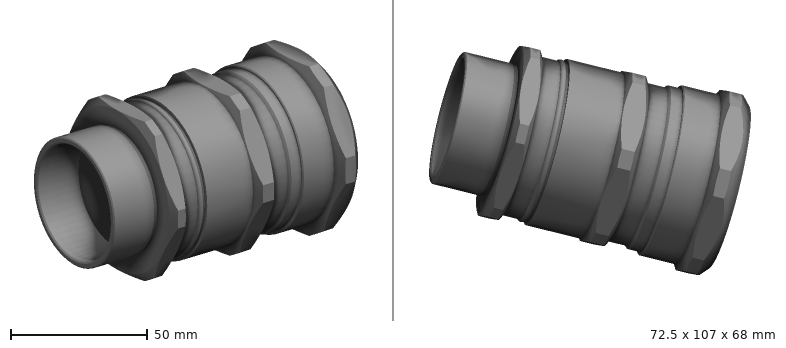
import cadquery as cq
import math

TOTAL_LENGTH = 107.0

RELIEF_START = 18.3
LOCKNUT_FRONT = 20.0
LOCKNUT_BACK = 27.2
BODY_FRONT = 37.8
MID_NUT_FRONT = 58.7
MID_NUT_BACK = 68.6
COLLAR_FRONT = 75.6
SLEEVE_FRONT = 81.0
CAP_NUT_FRONT = 95.1

SPIGOT_DIAMETER = 50.0
RELIEF_DIAMETER = 49.0
BORE_DIAMETER = 45.0
NECK_DIAMETER = 60.0
BODY_DIAMETER = 62.9
COLLAR_DIAMETER = 62.0
SLEEVE_DIAMETER = 64.4

BORE_DEPTH = 19.0
SPIGOT_CHAMFER = (SPIGOT_DIAMETER - RELIEF_DIAMETER) / 2
BORE_CHAMFER = 0.5
COLLAR_CHAMFER = (COLLAR_DIAMETER - NECK_DIAMETER) / 2
SLEEVE_CHAMFER = 0.4

RING_Y = 35.8
RING_TUBE_RADIUS = 1.3
RING_OUTER_DIAMETER = 61.6

NUT_FLATS = 64.0
NUT_CORNERS = 69.8
CAP_FLATS = 68.0
CAP_CORNERS = 72.5
LOCKNUT_FACE_DIAMETER = 63.7
NUT_BEVEL_ANGLE = 30.0
CAP_BACK_BEVEL_ANGLE = 43.0


def cylinder(diameter, start, end):
    """Solid cylinder along Y from start to end."""
    plane = cq.Workplane("XZ", origin=(0, start, 0))
    return plane.circle(diameter / 2).extrude(start - end)


def hex_prism(across, start, end, rotation):
    """Hexagonal prism along Y; with no rotation its corners point along X."""
    corner_diameter = across / math.cos(math.radians(30))
    prism = cq.Workplane("XZ", origin=(0, start, 0)).polygon(6, corner_diameter).extrude(start - end)
    return prism.rotate((0, 0, 0), (0, 1, 0), rotation)


def bevel_envelope(start, end, front_diameter, back_diameter, back_angle):
    """Turned double cone that bevels both ends of a nut."""
    front_slope = math.tan(math.radians(NUT_BEVEL_ANGLE))
    back_slope = math.tan(math.radians(back_angle))
    front_radius = front_diameter / 2
    back_radius = back_diameter / 2
    meeting_radius = (end - start + front_radius * front_slope + back_radius * back_slope) / (
        front_slope + back_slope
    )
    meeting_y = start + (meeting_radius - front_radius) * front_slope
    profile = [
        (0, start),
        (front_radius, start),
        (meeting_radius, meeting_y),
        (back_radius, end),
        (0, end),
    ]
    return cq.Workplane("XY").polyline(profile).close().revolve(360, (0, 0, 0), (0, 1, 0))


def nut(flats, corners, start, end, front_diameter, back_diameter, back_angle=NUT_BEVEL_ANGLE):
    """Hexagon nut with flattened corners and bevelled ends."""
    main_hex = hex_prism(flats, start, end, 0)
    corner_hex = hex_prism(corners, start, end, 30)
    envelope = bevel_envelope(start, end, front_diameter, back_diameter, back_angle)
    return main_hex.intersect(corner_hex).intersect(envelope)


def spigot():
    """Threaded spigot, chamfered at both ends, with a relief groove behind it."""
    thread = cylinder(SPIGOT_DIAMETER, 0, RELIEF_START + SPIGOT_CHAMFER).edges().chamfer(SPIGOT_CHAMFER)
    return thread.union(cylinder(RELIEF_DIAMETER, RELIEF_START, LOCKNUT_BACK))


def sealing_ring():
    """Round-section ring seated on the neck."""
    centre_radius = RING_OUTER_DIAMETER / 2 - RING_TUBE_RADIUS
    section = cq.Workplane("XY").center(-centre_radius, RING_Y).circle(RING_TUBE_RADIUS)
    return section.revolve(360, (centre_radius, 0, 0), (centre_radius, 1, 0))


def bore():
    """Blind bore with a chamfered mouth."""
    radius = BORE_DIAMETER / 2
    profile = [
        (0, 0),
        (radius + BORE_CHAMFER, 0),
        (radius, BORE_CHAMFER),
        (radius, BORE_DEPTH),
        (0, BORE_DEPTH),
    ]
    return cq.Workplane("XY").polyline(profile).close().revolve(360, (0, 0, 0), (0, 1, 0))


neck = cylinder(NECK_DIAMETER, LOCKNUT_FRONT, CAP_NUT_FRONT)
body = cylinder(BODY_DIAMETER, BODY_FRONT, MID_NUT_FRONT)
collar = cylinder(COLLAR_DIAMETER, COLLAR_FRONT, SLEEVE_FRONT).faces("<Y").chamfer(COLLAR_CHAMFER)
sleeve = cylinder(SLEEVE_DIAMETER, SLEEVE_FRONT, CAP_NUT_FRONT).faces("<Y").chamfer(SLEEVE_CHAMFER)

locknut = nut(
    NUT_FLATS, NUT_CORNERS, LOCKNUT_FRONT, LOCKNUT_BACK, LOCKNUT_FACE_DIAMETER, LOCKNUT_FACE_DIAMETER
)
mid_nut = nut(NUT_FLATS, NUT_CORNERS, MID_NUT_FRONT, MID_NUT_BACK, BODY_DIAMETER, NECK_DIAMETER)
cap_nut = nut(
    CAP_FLATS,
    CAP_CORNERS,
    CAP_NUT_FRONT,
    TOTAL_LENGTH,
    SLEEVE_DIAMETER,
    COLLAR_DIAMETER,
    CAP_BACK_BEVEL_ANGLE,
)

result = spigot()
for section in (locknut, neck, sealing_ring(), body, mid_nut, collar, sleeve, cap_nut):
    result = result.union(section)
result = result.cut(bore())